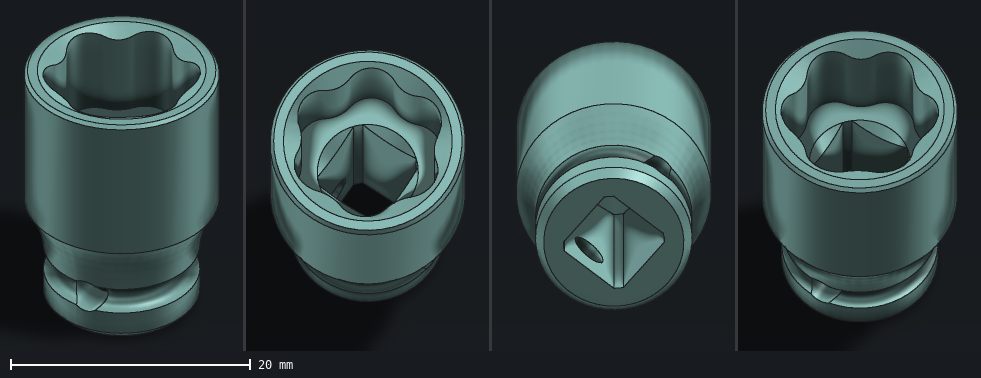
import cadquery as cq
import math

height = 23.0
body_radius = 8.154
neck_radius = 6.53
bottom_chamfer_width = 0.7
bottom_chamfer_height = 0.74
top_chamfer = 0.3
flare_bottom = 5.22
flare_top = 10.03
flare_arc_radius = 9.65

groove_bottom = 2.8
groove_radius = 5.52
groove_middle = (groove_bottom + flare_bottom) / 2
cross_hole_diameter = 3.0

lobe_count = 6
lobe_tip_radius = 6.55
lobe_arc_radius = 2.37
valley_distance = 5.57
socket_floor = 15.0
mouth_radius = 7.04
mouth_slope = 30.0

drive_width = 6.49
drive_corner_radius = 4.2
lead_in_slope = 30.0
lead_in_depth = (drive_corner_radius - drive_width / 2) * math.tan(math.radians(lead_in_slope))


def make_body():
    """Revolve the stepped outline with its groove and flare."""
    chord_x = body_radius - neck_radius
    chord_z = flare_top - flare_bottom
    chord = math.hypot(chord_x, chord_z)
    sag = flare_arc_radius - math.sqrt(flare_arc_radius**2 - (chord / 2) ** 2)
    flare_middle = (
        neck_radius + chord_x / 2 - sag * chord_z / chord,
        flare_bottom + chord_z / 2 + sag * chord_x / chord,
    )
    outline = (
        cq.Workplane("XZ")
        .moveTo(0, 0)
        .lineTo(neck_radius - bottom_chamfer_width, 0)
        .lineTo(neck_radius, bottom_chamfer_height)
        .lineTo(neck_radius, groove_bottom)
        .threePointArc((groove_radius, groove_middle), (neck_radius, flare_bottom))
        .threePointArc(flare_middle, (body_radius, flare_top))
        .lineTo(body_radius, height - top_chamfer)
        .lineTo(body_radius - top_chamfer, height)
        .lineTo(0, height)
        .close()
    )
    return outline.revolve(360, (0, 0, 0), (0, 1, 0))


def polar(radius, angle):
    return radius * math.cos(angle), radius * math.sin(angle)


def make_socket():
    """Extrude a wavy outline of tangent lobe and valley arcs."""
    half_pitch = math.pi / lobe_count
    lobe_center = lobe_tip_radius - lobe_arc_radius
    cosine = math.cos(half_pitch)
    valley_arc_radius = (
        lobe_center**2 + valley_distance**2 - lobe_arc_radius**2
        - 2 * lobe_center * valley_distance * cosine
    ) / (2 * (lobe_arc_radius - valley_distance + lobe_center * cosine))
    valley_center = valley_distance + valley_arc_radius

    share = lobe_arc_radius / (lobe_arc_radius + valley_arc_radius)
    valley_x, valley_y = polar(valley_center, half_pitch)
    join_x = lobe_center + share * (valley_x - lobe_center)
    join_y = share * valley_y
    join_radius = math.hypot(join_x, join_y)
    join_angle = math.atan2(join_y, join_x)

    first_lobe = math.pi / 2
    outline = cq.Workplane("XY", origin=(0, 0, socket_floor))
    outline = outline.moveTo(*polar(join_radius, first_lobe - join_angle))
    for index in range(lobe_count):
        lobe = first_lobe + index * 2 * half_pitch
        outline = outline.threePointArc(
            polar(lobe_tip_radius, lobe), polar(join_radius, lobe + join_angle)
        ).threePointArc(
            polar(valley_distance, lobe + half_pitch),
            polar(join_radius, lobe + 2 * half_pitch - join_angle),
        )
    return outline.close().extrude(height - socket_floor)


def make_mouth():
    """Conical lead-in at the open end of the socket."""
    depth = mouth_radius * math.tan(math.radians(mouth_slope))
    cone = cq.Solid.makeCone(0, mouth_radius, depth, pnt=cq.Vector(0, 0, height - depth))
    return cq.Workplane(obj=cone)


def make_drive():
    """Square through hole with rounded-off corners and a cone at the socket floor."""
    square = cq.Workplane("XY").rect(drive_width, drive_width).extrude(socket_floor)
    corner_limit = cq.Workplane("XY").circle(drive_corner_radius).extrude(socket_floor)
    cone = cq.Solid.makeCone(
        drive_width / 2, drive_corner_radius, lead_in_depth,
        pnt=cq.Vector(0, 0, socket_floor - lead_in_depth),
    )
    return square.intersect(corner_limit).union(cq.Workplane(obj=cone))


def make_cross_hole():
    """Retaining pin hole through both walls along Y."""
    return (
        cq.Workplane("XZ", origin=(0, 0, groove_middle))
        .circle(cross_hole_diameter / 2)
        .extrude(body_radius, both=True)
    )


result = (
    make_body()
    .cut(make_socket())
    .cut(make_mouth())
    .cut(make_drive())
    .cut(make_cross_hole())
)